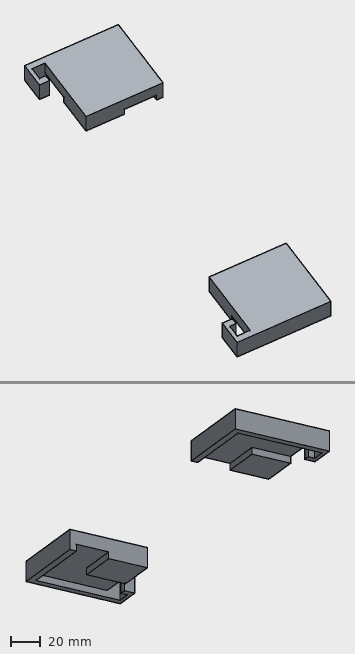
import cadquery as cq

overall_length = 285.0
height = 15.0

plate_side = 60.0
wall = 5.0

hook_slot_depth = 10.0
hook_bar_thickness = 3.0
hook_length = 20.0
hook_tip_width = 5.0
hook_tip_gap = 5.0

recess_depth = 5.0
block_side = 30.0

outer_x = overall_length / 2
inner_x = outer_x - plate_side
overall_depth = plate_side + hook_slot_depth + hook_bar_thickness
back_y = overall_depth / 2
plate_front_y = back_y - plate_side
hook_front_y = -overall_depth / 2
bar_back_y = hook_front_y + hook_bar_thickness
tip_back_y = plate_front_y - hook_tip_gap
wall_inner_x = outer_x - wall
wall_inner_y = back_y - wall
tip_inner_x = outer_x - hook_length
tip_outer_x = tip_inner_x + hook_tip_width
block_x = inner_x + block_side
block_y = plate_front_y + block_side


def hooked_plate():
    """Full-height plate and hook on the +X side."""
    outline = [
        (inner_x, back_y),
        (outer_x, back_y),
        (outer_x, hook_front_y),
        (tip_inner_x, hook_front_y),
        (tip_inner_x, tip_back_y),
        (tip_outer_x, tip_back_y),
        (tip_outer_x, bar_back_y),
        (wall_inner_x, bar_back_y),
        (wall_inner_x, plate_front_y),
        (inner_x, plate_front_y),
    ]
    return cq.Workplane("XY").polyline(outline).close().extrude(height)


def underside_recess():
    """L-shaped recess between the corner block and the two walls, open at both ends."""
    outline = [
        (inner_x, wall_inner_y),
        (wall_inner_x, wall_inner_y),
        (wall_inner_x, plate_front_y),
        (block_x, plate_front_y),
        (block_x, block_y),
        (inner_x, block_y),
    ]
    return cq.Workplane("XY").polyline(outline).close().extrude(recess_depth)


def corner_bracket(mirrored):
    """One bracket on the +X side, or its mirror image on the -X side."""
    bracket = hooked_plate().cut(underside_recess())
    return bracket.mirror("YZ") if mirrored else bracket


brackets = [corner_bracket(mirrored) for mirrored in (False, True)]

result = cq.Compound.makeCompound([bracket.val() for bracket in brackets])